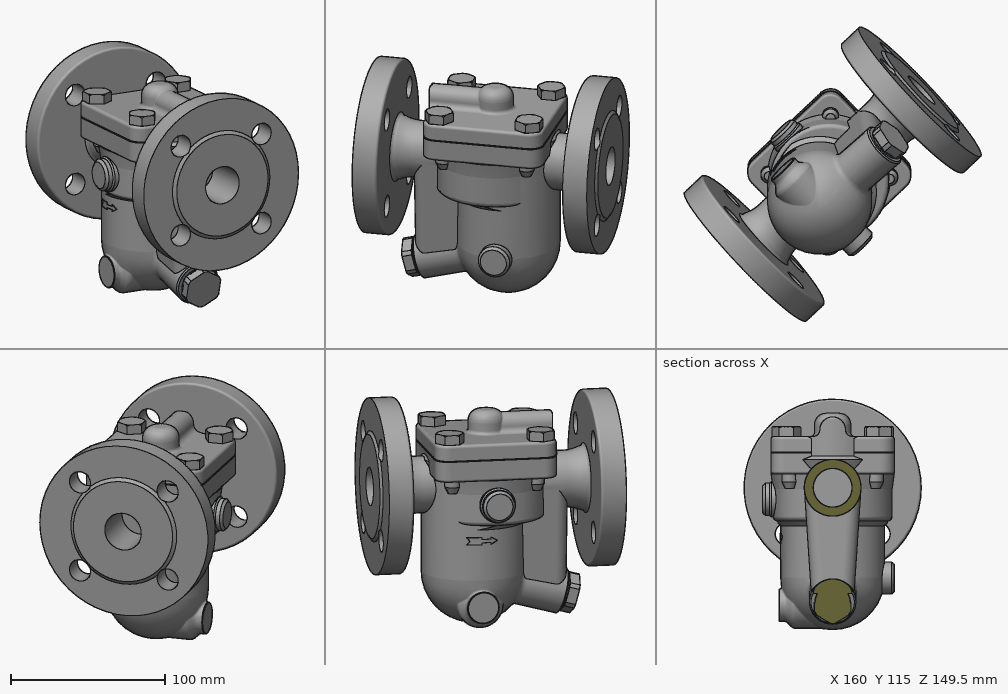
import cadquery as cq
import math

length = 160.0

hexagon_half_turn = 30
hexagon_ratio = math.cos(math.radians(hexagon_half_turn))

flange_dia = 115.0
flange_thick = 16.5
flange_edge_round = 1.6
raised_face_height = 1.6
raised_face_base_dia = 72.3
raised_face_dia = 67.8
neck_root_dia = 45.5
neck_taper_dia = 41.6
pipe_dia = 37.0
neck_root_length = 2.7
neck_root_radius = 3.2
neck_length = 13.1
bore_dia = 25.0
bore_depth = 35.2
flange_hole_dia = 14.4
flange_hole_spacing = 60.0

body_x = -11.7
body_radius = 33.8
dome_z = -58.2
body_top_z = 19.7
body_top_chamfer = 2.2

cover_x = -3.0
cover_size = 80.2
cover_corner_radius = 9.1
seat_bottom_z = 9.0
cover_bottom_z = 22.7
cover_top_z = 33.3
joint_groove_height = 0.6
joint_groove_depth = 0.3
cover_edge_round = 2.0
seat_edge_round = 1.5

chamber_radius = 38.5
chamber_flare_radius = 40.0
chamber_flare_z = -1.0
chamber_bottom_z = -21.6
chamber_edge_round = 2.9
chamber_blend_height = 3.0
blend_overlap = 1.0

bolt_spacing = 60.0
bolt_hex_flats = 16.3
bolt_head_top_z = 39.7
bolt_head_chamfer = 0.8
bolt_boss_spacing = 55.4
bolt_boss_radius = 5.3
bolt_boss_tip_radius = 3.0
bolt_boss_tip_z = -0.6
bolt_boss_taper_z = 3.8

cap_radius = 11.8
cap_top_z = 48.3
cap_round = 7.5
cap_root_round = 2.4
cap_ridge_round = 1.3
ridge_radius = 8.3
ridge_axis_z = 37.6
ridge_end_round = 2.0

pick_margin = 0.3

bulge_radius = 30.4
bulge_x = 10.0
bulge_flare = 2.9
bulge_neck_z = 20.5
bulge_flare_z = 18.2

passage_end_x = 48.5
passage_top_half_width = 18.4
passage_bottom_half_width = 13.8
passage_bottom_z = -70.4
passage_edge_round = 8.0

branch_angle = 15.0
branch_end_x = 47.2
branch_end_z = -74.2
branch_dia = 30.0
branch_length = 38.4
branch_end_chamfer = 1.0
branch_root_round = 4.0
plug_neck_dia = 23.0
plug_neck_length = 1.5
plug_flats = 24.0
plug_corner_dia = 26.0
plug_height = 6.7

boss_dia = 21.0
boss_chamfer = 1.8
drain_boss_z = -76.2
drain_collar_dia = 30.0
drain_collar_y = 25.6
drain_cone_y = 30.4
drain_boss_y = 34.9
drain_edge_chamfer = 0.5
drain_collar_round = 3.2
drain_foot_round = 2.4
drain_root_round = 1.3
side_boss_z = -7.5
side_boss_y = 45.5
side_boss_root_dia = 23.0
side_boss_root_y = 40.8
rear_boss_z = -58.5
rear_boss_y = 40.0

arrow_relief = 0.3
arrow_x = -12.2
arrow_z = -32.0
arrow_length = 20.2
arrow_head_length = 4.3
arrow_tail_length = 9.8
arrow_notch = 2.0
arrow_half_width = 2.4
arrow_shaft_half_width = 1.1


def cylinder_z(x, y, radius, z_low, z_high):
    return cq.Workplane("XY", origin=(x, y, z_low)).circle(radius).extrude(z_high - z_low)


def turned_about_z(x, y, profile):
    """Solid of revolution about a vertical axis from (radius, z) points."""
    return cq.Workplane("XZ", origin=(x, y, 0)).polyline(profile).close().revolve(360, (0, 0), (0, 1))


def turned_about_y(x, z, profile):
    """Solid of revolution about an axis along Y from (radius, y) points."""
    return cq.Workplane("XY", origin=(x, 0, z)).polyline(profile).close().revolve(360, (0, 0), (0, 1))


def square_corners(x, spacing):
    half = spacing / 2
    return [(x + sx * half, sy * half) for sx in (-1, 1) for sy in (-1, 1)]


def inlet_flange():
    face_x = -length / 2
    front_x = face_x + raised_face_height
    back_x = front_x + flange_thick
    pipe_x = back_x + neck_length
    taper_x = back_x + neck_root_length
    curve_length = pipe_x - taper_x
    curve_rise = (neck_taper_dia - pipe_dia) / 2
    curve_radius = (curve_length**2 + curve_rise**2) / (2 * curve_rise)
    body = (
        cq.Workplane("XY")
        .moveTo(face_x, 0)
        .lineTo(face_x, raised_face_dia / 2)
        .lineTo(front_x, raised_face_base_dia / 2)
        .lineTo(front_x, flange_dia / 2)
        .lineTo(back_x - flange_edge_round, flange_dia / 2)
        .radiusArc((back_x, flange_dia / 2 - flange_edge_round), flange_edge_round)
        .lineTo(back_x, neck_root_dia / 2)
        .radiusArc((taper_x, neck_taper_dia / 2), -neck_root_radius)
        .radiusArc((pipe_x, pipe_dia / 2), -curve_radius)
        .lineTo(body_x, pipe_dia / 2)
        .lineTo(body_x, 0)
        .close()
        .revolve(360, (0, 0), (1, 0))
    )
    holes = (
        cq.Workplane("YZ", origin=(face_x, 0, 0))
        .rect(flange_hole_spacing, flange_hole_spacing, forConstruction=True)
        .vertices()
        .circle(flange_hole_dia / 2)
        .extrude(raised_face_height + flange_thick)
    )
    return body.cut(holes)


def inlet_bore():
    return cq.Workplane("YZ", origin=(-length / 2, 0, 0)).circle(bore_dia / 2).extrude(bore_depth)


def main_body():
    shell = cylinder_z(body_x, 0, body_radius, dome_z, body_top_z)
    shell = shell.faces(">Z").chamfer(body_top_chamfer)
    dome = cq.Workplane("XY").sphere(body_radius).translate((body_x, 0, dome_z))
    return shell.union(dome)


def chamber():
    """Wide chamber, flared below the seat and blended into the body at its foot."""
    wall = cylinder_z(cover_x, 0, chamber_radius, chamber_bottom_z, chamber_flare_z)
    wall = wall.faces("<Z").edges().fillet(chamber_edge_round)
    flare = turned_about_z(
        cover_x,
        0,
        [
            (0, chamber_flare_z),
            (chamber_radius, chamber_flare_z),
            (chamber_flare_radius, seat_bottom_z),
            (0, seat_bottom_z),
        ],
    )
    blend_low_z = chamber_bottom_z - chamber_blend_height
    blend = turned_about_z(
        body_x,
        0,
        [
            (0, chamber_bottom_z),
            (body_radius + chamber_blend_height, chamber_bottom_z),
            (body_radius - blend_overlap, blend_low_z - blend_overlap),
            (0, blend_low_z - blend_overlap),
        ],
    )
    foot_radius = chamber_radius - chamber_edge_round
    blend_limit = cylinder_z(cover_x, 0, foot_radius, blend_low_z - blend_overlap, chamber_bottom_z)
    return wall.union(flare).union(blend.intersect(blend_limit))


def rounded_square(z_low, z_high, inset=0):
    size = cover_size - 2 * inset
    return (
        cq.Workplane("XY", origin=(cover_x, 0, z_low))
        .rect(size, size)
        .extrude(z_high - z_low)
        .edges("|Z")
        .fillet(cover_corner_radius - inset)
    )


def cover_seat():
    seat = rounded_square(seat_bottom_z, cover_bottom_z - joint_groove_height / 2)
    return seat.faces("<Z").edges().fillet(seat_edge_round)


def cover_joint():
    """Thin set-back layer that leaves a groove between seat and cover."""
    half = joint_groove_height / 2
    return rounded_square(cover_bottom_z - half, cover_bottom_z + half, joint_groove_depth)


def cover():
    plate = rounded_square(cover_bottom_z + joint_groove_height / 2, cover_top_z)
    return plate.faces(">Z").edges().fillet(cover_edge_round)


def outlet_bulge():
    """Bulge beside the cover that flares out onto the outlet pipe."""
    foot_radius = bulge_radius - seat_edge_round
    return turned_about_z(
        bulge_x,
        0,
        [
            (0, seat_bottom_z),
            (foot_radius, seat_bottom_z),
            (bulge_radius + bulge_flare, bulge_flare_z),
            (bulge_radius, bulge_neck_z),
            (bulge_radius, cover_top_z),
            (0, cover_top_z),
        ],
    )


def outlet_ridge():
    """Half-round ridge whose flanks flare down onto the cover."""
    root = ridge_axis_z - cover_top_z
    ridge = (
        cq.Workplane("YZ", origin=(cover_x, 0, 0))
        .moveTo(-ridge_radius - root, cover_top_z)
        .radiusArc((-ridge_radius, ridge_axis_z), -root)
        .radiusArc((ridge_radius, ridge_axis_z), ridge_radius)
        .radiusArc((ridge_radius + root, cover_top_z), -root)
        .close()
        .extrude(length / 2)
    )
    ridge_top_z = ridge_axis_z + ridge_radius
    limit = cylinder_z(bulge_x, 0, bulge_radius, cover_top_z, ridge_top_z)
    limit = limit.faces(">Z").edges().fillet(ridge_end_round)
    return ridge.intersect(limit)


def cap_dome():
    dome = cylinder_z(cover_x, 0, cap_radius, cover_bottom_z, cap_top_z)
    dome = dome.faces(">Z").edges().fillet(cap_round)
    root = (
        cq.Workplane("XZ", origin=(cover_x, 0, 0))
        .moveTo(0, cover_top_z)
        .lineTo(cap_radius + cap_root_round, cover_top_z)
        .radiusArc((cap_radius, cover_top_z + cap_root_round), cap_root_round)
        .lineTo(0, cover_top_z + cap_root_round)
        .close()
        .revolve(360, (0, 0), (0, 1))
    )
    return dome.union(root)


def cap_and_ridge():
    """Cap dome and ridge, softened where the ridge crown runs into the dome."""
    joined = cap_dome().union(outlet_ridge())
    crown_joint = cq.selectors.BoxSelector(
        (cover_x, -ridge_radius - pick_margin, ridge_axis_z - pick_margin),
        (
            cover_x + cap_radius + pick_margin,
            ridge_radius + pick_margin,
            ridge_axis_z + ridge_radius + pick_margin,
        ),
        boundingbox=True,
    )
    return joined.edges(crown_joint).fillet(cap_ridge_round)


def bolt_head(x, y, turn):
    """Hexagon head whose top corners are turned down to a chamfer."""
    height = bolt_head_top_z - cover_top_z
    corner_dia = bolt_hex_flats / hexagon_ratio
    head = cq.Workplane("XY").polygon(6, corner_dia).extrude(height)
    turned = cq.Workplane("XY").circle(corner_dia / 2).extrude(height)
    turned = turned.faces(">Z").chamfer(bolt_head_chamfer)
    head = head.intersect(turned).rotate((0, 0, 0), (0, 0, 1), turn)
    return head.translate((x, y, cover_top_z))


def bolt_boss(x, y):
    return turned_about_z(
        x,
        y,
        [
            (0, bolt_boss_tip_z),
            (bolt_boss_tip_radius, bolt_boss_tip_z),
            (bolt_boss_radius, bolt_boss_taper_z),
            (bolt_boss_radius, cover_bottom_z),
            (0, cover_bottom_z),
        ],
    )


def passage_block():
    """Drafted block joining the body to the outlet, narrower at the bottom."""
    block = (
        cq.Workplane("YZ", origin=(body_x, 0, 0))
        .moveTo(-passage_bottom_half_width, passage_bottom_z)
        .lineTo(passage_bottom_half_width, passage_bottom_z)
        .lineTo(passage_top_half_width, 0)
        .lineTo(-passage_top_half_width, 0)
        .close()
        .extrude(passage_end_x - body_x)
    )
    return block.faces(">X").edges("not |Y").fillet(passage_edge_round)


def slanted_plane(distance):
    """Plane across the branch axis, at a distance past the branch end."""
    angle = math.radians(branch_angle)
    axis = cq.Vector(math.cos(angle), 0, -math.sin(angle))
    centre = cq.Vector(branch_end_x, 0, branch_end_z) + axis * distance
    return cq.Workplane(cq.Plane(origin=centre, xDir=(0, 1, 0), normal=axis))


def strainer_branch():
    branch = slanted_plane(-branch_length).circle(branch_dia / 2).extrude(branch_length)
    return branch.faces(">X").chamfer(branch_end_chamfer)


def strainer_plug():
    neck = slanted_plane(0).circle(plug_neck_dia / 2).extrude(plug_neck_length)
    plane = slanted_plane(plug_neck_length)
    hexagon_dia = plug_flats / hexagon_ratio
    hexagon = plane.transformed(rotate=(0, 0, hexagon_half_turn)).polygon(6, hexagon_dia).extrude(plug_height)
    round_bar = plane.circle(plug_corner_dia / 2).extrude(plug_height)
    return neck.union(hexagon.intersect(round_bar))


def drain_boss():
    radius = boss_dia / 2
    boss = turned_about_y(
        body_x,
        drain_boss_z,
        [
            (0, 0),
            (drain_collar_dia / 2, 0),
            (drain_collar_dia / 2, -drain_collar_y),
            (radius, -drain_cone_y),
            (radius, -drain_boss_y + drain_edge_chamfer),
            (radius - drain_edge_chamfer, -drain_boss_y),
            (0, -drain_boss_y),
        ],
    )
    collar_edge = cq.selectors.NearestToPointSelector((body_x, -drain_collar_y, drain_boss_z))
    foot_edge = cq.selectors.NearestToPointSelector((body_x, -drain_cone_y, drain_boss_z))
    boss = boss.edges(foot_edge).fillet(drain_foot_round)
    return boss.edges(collar_edge).fillet(drain_collar_round)


def side_boss():
    radius = boss_dia / 2
    root_step = (side_boss_root_dia - boss_dia) / 2
    return turned_about_y(
        cover_x,
        side_boss_z,
        [
            (0, 0),
            (radius + root_step, 0),
            (radius + root_step, -side_boss_root_y + root_step),
            (radius, -side_boss_root_y),
            (radius, -side_boss_y + boss_chamfer),
            (radius - boss_chamfer, -side_boss_y),
            (0, -side_boss_y),
        ],
    )


def rear_boss():
    boss = cq.Workplane("XZ", origin=(body_x, rear_boss_y, rear_boss_z))
    boss = boss.circle(boss_dia / 2).extrude(rear_boss_y)
    return boss.faces(">Y").chamfer(boss_chamfer)


def flow_arrow():
    """Raised arrow that follows the round body wall."""
    tail_x = arrow_x - arrow_length / 2
    tip_x = arrow_x + arrow_length / 2
    head_x = tip_x - arrow_head_length
    shaft_x = tail_x + arrow_tail_length
    arrow = (
        cq.Workplane("XZ", origin=(0, 0, arrow_z))
        .polyline(
            [
                (tail_x + arrow_notch, 0),
                (tail_x, arrow_half_width),
                (shaft_x, arrow_half_width),
                (shaft_x, arrow_shaft_half_width),
                (head_x, arrow_shaft_half_width),
                (head_x, arrow_half_width),
                (tip_x, 0),
                (head_x, -arrow_half_width),
                (head_x, -arrow_shaft_half_width),
                (shaft_x, -arrow_shaft_half_width),
                (shaft_x, -arrow_half_width),
                (tail_x, -arrow_half_width),
            ]
        )
        .close()
        .extrude(length / 2)
    )
    relief_low = arrow_z - arrow_half_width
    relief_high = arrow_z + arrow_half_width
    limit = cylinder_z(body_x, 0, body_radius + arrow_relief, relief_low, relief_high)
    return arrow.intersect(limit)


result = main_body().union(strainer_branch())
branch_joint = cq.selectors.BoxSelector(
    (body_x, -branch_dia, dome_z - body_radius),
    (branch_end_x - branch_dia / 2, branch_dia, dome_z + branch_dia / 2),
    boundingbox=True,
)
result = result.edges(branch_joint).fillet(branch_root_round)

result = result.union(drain_boss())
drain_reach = drain_collar_dia / 2 + pick_margin
drain_joint = cq.selectors.BoxSelector(
    (body_x - drain_reach, -drain_boss_y + drain_edge_chamfer + pick_margin, drain_boss_z - drain_reach),
    (body_x + drain_reach, 0, drain_boss_z + drain_reach),
    boundingbox=True,
)
result = result.edges(drain_joint).edges("not %CIRCLE").fillet(drain_root_round)

inlet = inlet_flange()
features = [
    chamber(),
    cover_seat(),
    cover_joint(),
    cover(),
    outlet_bulge(),
    cap_and_ridge(),
    passage_block(),
    strainer_plug(),
    side_boss(),
    rear_boss(),
    flow_arrow(),
    inlet,
    inlet.mirror("YZ"),
]
for x, y in square_corners(cover_x, bolt_boss_spacing):
    features.append(bolt_boss(x, y))
for x, y in square_corners(cover_x, bolt_spacing):
    same_side = (x - cover_x) * y > 0
    features.append(bolt_head(x, y, 0 if same_side else hexagon_half_turn))

for feature in features:
    result = result.union(feature)

bore = inlet_bore()
result = result.cut(bore).cut(bore.mirror("YZ"))